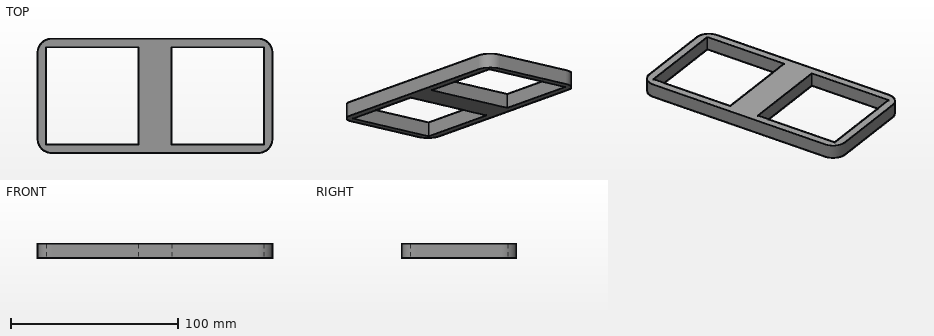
import cadquery as cq

length = 140.6
width = 68.5
height = 8.7
corner_radius = 8.6

rim = 5.2
bar_width = 20.0
window_length = (length - 2 * rim - bar_width) / 2
window_width = width - 2 * rim
window_offset = (bar_width + window_length) / 2

frame = cq.Workplane("XY").rect(length, width).extrude(height).edges("|Z").fillet(corner_radius)

windows = (
    cq.Workplane("XY")
    .pushPoints([(-window_offset, 0), (window_offset, 0)])
    .rect(window_length, window_width)
    .extrude(height)
)

result = frame.cut(windows)